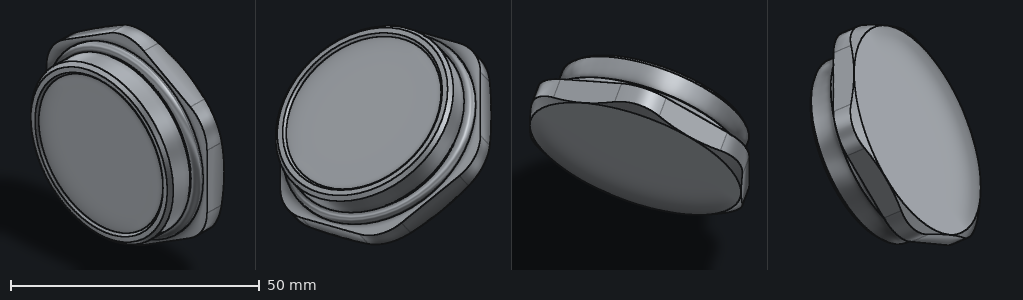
import cadquery as cq
import math

across_flats = 45.0
across_corners = 49.0
head_thickness = 5.0
head_chamfer_angle = math.radians(30)
head_back_diameter = 44.9

total_depth = 13.0
body_diameter = 40.0
neck_diameter = 38.3
body_chamfer = (body_diameter - neck_diameter) / 2
body_length = 5.7

ring_outer_diameter = 43.25
ring_section_radius = 1.27
ring_exposed_width = 1.9

recess_rim_diameter = 35.9
recess_floor_diameter = 34.8
recess_depth = 0.55

head_front = -head_thickness
body_front = -total_depth
body_back = body_front + body_length


def revolve_about_y(profile):
    """Revolve a closed (radius, y) profile a full turn about the Y axis."""
    return profile.close().revolve(360, (0, 0, 0), (0, 1, 0))


def make_head():
    """Rounded hexagon with points up and a conical chamfer on its back."""
    sharp_corners = across_flats / math.cos(math.pi / 6)
    corner_radius = (sharp_corners - across_corners) / 2 / (1 / math.cos(math.pi / 6) - 1)
    hexagon = (
        cq.Workplane("XZ")
        .polygon(6, sharp_corners)
        .extrude(head_thickness)
        .rotate((0, 0, 0), (0, 1, 0), 30)
        .edges("|Y")
        .fillet(corner_radius)
    )
    back_radius = head_back_diameter / 2
    cone_radius = back_radius + head_thickness / math.tan(head_chamfer_angle)
    chamfer_cone = revolve_about_y(
        cq.Workplane("XY").polyline(
            [(0, 0), (back_radius, 0), (cone_radius, head_front), (0, head_front)]
        )
    )
    return hexagon.intersect(chamfer_cone)


def make_body():
    """Neck and chamfered body with the tapered recess in its front face."""
    body_radius = body_diameter / 2
    neck_radius = neck_diameter / 2
    recess_floor = body_front + recess_depth
    return revolve_about_y(
        cq.Workplane("XY").polyline(
            [
                (0, head_front),
                (neck_radius, head_front),
                (neck_radius, body_back + body_chamfer),
                (body_radius, body_back),
                (body_radius, body_front + body_chamfer),
                (body_radius - body_chamfer, body_front),
                (recess_rim_diameter / 2, body_front),
                (recess_floor_diameter / 2, recess_floor),
                (0, recess_floor),
            ]
        )
    )


def make_sealing_ring():
    """Round-section ring around the neck, partly sunk into the head."""
    section_centre = ring_outer_diameter / 2 - ring_section_radius
    ring_front = head_front - ring_exposed_width
    return (
        cq.Workplane("XY")
        .center(section_centre, ring_front + ring_section_radius)
        .circle(ring_section_radius)
        .revolve(360, (-section_centre, 0, 0), (-section_centre, 1, 0))
    )


result = make_head().union(make_body()).union(make_sealing_ring())